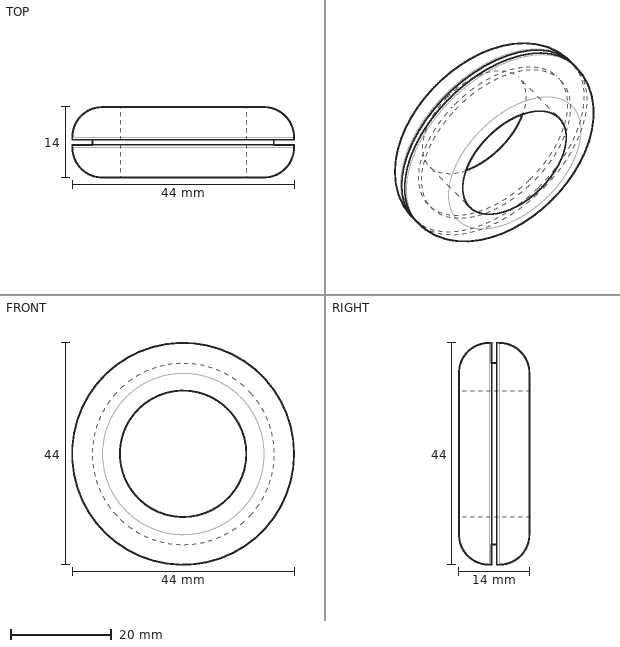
import cadquery as cq

outer_diameter = 44.0
bore_diameter = 25.0
groove_diameter = 36.0
thickness = 14.0
groove_width = 1.0
edge_radius = 6.0


def centred_disc(diameter, width):
    """Solid disc about the Y axis, centred on the XZ plane."""
    return (
        cq.Workplane("XZ", origin=(0, width / 2, 0))
        .circle(diameter / 2)
        .extrude(width)
    )


def rounded_body():
    """Disc with both outer rims rounded."""
    return centred_disc(outer_diameter, thickness).edges("%CIRCLE").fillet(edge_radius)


def panel_groove():
    """Annular cutter for the mid-plane groove that grips the panel edge."""
    return centred_disc(outer_diameter, groove_width).cut(
        centred_disc(groove_diameter, groove_width)
    )


bore = centred_disc(bore_diameter, thickness)
result = rounded_body().cut(panel_groove()).cut(bore)